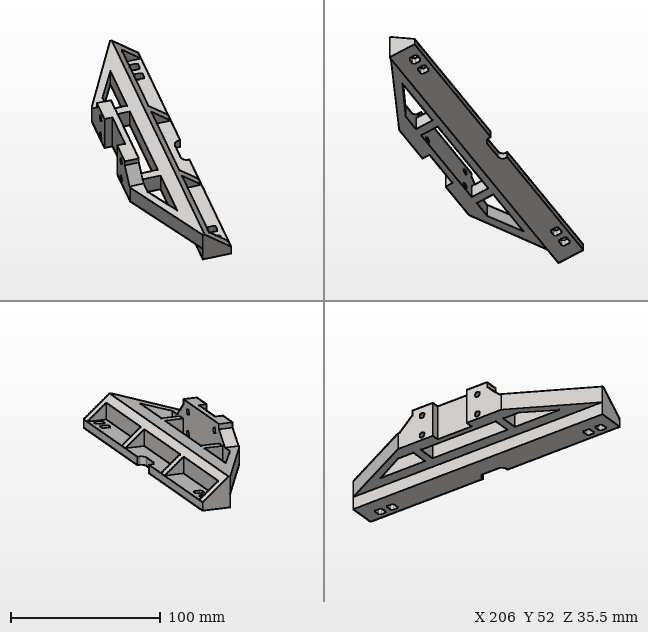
import cadquery as cq

length = 206.0
depth = 52.0
height = 35.5

beam_depth = 20.0
beam_front = depth - beam_depth
lip_height = 6.0
slope_run = 18.7
deck_bottom = 9.5
deck_top = 21.8

rib_width = 6.2
rib_inner = 31.0
rib_outer = rib_inner + rib_width

pocket_depth = 13.8
pocket_floor = lip_height
end_wall = rib_width

front_half_width = 42.6
window_back = 23.0
wall_thickness = 9.9
window_tip_x = 74.0
window_front_x = 49.9

wall_shoulder_x = 41.5
wall_step_z = 31.7
recess_width = 28.0
recess_depth = 5.5
bolt_diameter = 4.0
bolt_x = 22.9
bolt_heights = (13.4, 28.6)

slot_width = 5.8
slot_length = 6.2
slot_corner_radius = 1.5
slot_positions = (-90.0, -80.1, 82.0, 92.0)
slot_from_back = 6.8
notch_width = 20.2
notch_depth = 5.0
notch_radius = 4.0


def box(x_min, x_max, y_min, y_max, z_min, z_max):
    """Axis-aligned block between the given limits."""
    size = (x_max - x_min, y_max - y_min, z_max - z_min)
    return cq.Workplane().box(*size, centered=False).translate((x_min, y_min, z_min))


def make_beam():
    """Full-length beam whose top slopes down to a low lip at the back."""
    profile = [
        (beam_front, 0),
        (depth, 0),
        (depth, lip_height),
        (depth - slope_run, deck_top),
        (beam_front, deck_top),
    ]
    beam = cq.Workplane("YZ").polyline(profile).close().extrude(length / 2, both=True)
    pocket_limits = [
        (-length / 2 + end_wall, -rib_outer),
        (-rib_inner, rib_inner),
        (rib_outer, length / 2 - end_wall),
    ]
    for x_min, x_max in pocket_limits:
        beam = beam.cut(box(x_min, x_max, depth - pocket_depth, depth, pocket_floor, deck_top))
    return beam


def make_deck():
    """Tapered deck with one central and two side windows."""
    outline = [
        (-length / 2, beam_front),
        (-front_half_width, 0),
        (front_half_width, 0),
        (length / 2, beam_front),
    ]
    thickness = deck_top - deck_bottom
    deck = cq.Workplane(origin=(0, 0, deck_bottom)).polyline(outline).close().extrude(thickness)
    deck = deck.cut(box(-rib_inner, rib_inner, wall_thickness, window_back, deck_bottom, deck_top))
    side_window = [
        (rib_outer, wall_thickness),
        (window_front_x, wall_thickness),
        (window_tip_x, window_back),
        (rib_outer, window_back),
    ]
    window = cq.Workplane(origin=(0, 0, deck_bottom)).polyline(side_window).close().extrude(thickness)
    return deck.cut(window).cut(window.mirror("YZ"))


def make_front_wall():
    """Upright wall with sloping shoulders."""
    outline = [
        (-wall_shoulder_x, deck_bottom),
        (-wall_shoulder_x, deck_top),
        (-rib_inner, wall_step_z),
        (-rib_inner, height),
        (rib_inner, height),
        (rib_inner, wall_step_z),
        (wall_shoulder_x, deck_top),
        (wall_shoulder_x, deck_bottom),
    ]
    return cq.Workplane("XZ").polyline(outline).close().extrude(-wall_thickness)


def make_bolt_holes():
    """Four holes through the front wall."""
    points = [(x, z) for x in (-bolt_x, bolt_x) for z in bolt_heights]
    return cq.Workplane("XZ").pushPoints(points).circle(bolt_diameter / 2).extrude(-wall_thickness)


def make_slots():
    """Rounded mounting slots through the outer pocket floors."""
    points = [(x, depth - slot_from_back) for x in slot_positions]
    slots = cq.Workplane().pushPoints(points).rect(slot_width, slot_length).extrude(deck_top)
    return slots.edges("|Z").fillet(slot_corner_radius)


def make_notch():
    """Rear notch with rounded inner corners."""
    half_width = notch_width / 2
    notch = box(-half_width, half_width, depth - notch_depth, depth, 0, deck_top)
    return notch.edges("|Z and <Y").fillet(notch_radius)


recess = box(-recess_width / 2, recess_width / 2, 0, recess_depth, deck_bottom, height)

result = make_beam().union(make_deck()).union(make_front_wall())
for cutter in (recess, make_bolt_holes(), make_slots(), make_notch()):
    result = result.cut(cutter)